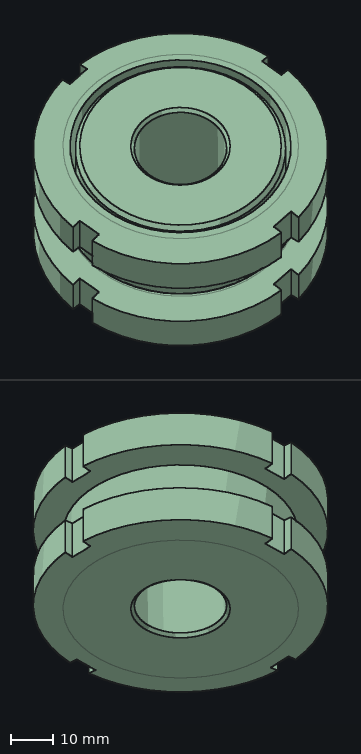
import cadquery as cq
import math

total_height = 33.0
flange_height = 11.0

across_slot_corners = 69.75
slot_width = 6.15
slot_floor_radius = 32.5
slot_count = 4
flange_radius = math.hypot(across_slot_corners / 2, slot_width / 2)
cone_drop = 0.85

hub_radius = 28.0
hub_chamfer = 0.8
clearance_radius = 26.2

stem_radius = 25.0
stem_chamfer = 1.05
bore_radius = 10.95
bore_chamfer = 0.85


def cylinder(radius, bottom, top):
    return cq.Workplane("XY").workplane(offset=bottom).circle(radius).extrude(top - bottom)


def make_slotted_flange(bottom):
    """Flange with a flat centre, shallow conical faces and slots around the rim."""
    top = bottom + flange_height
    profile = [
        (0, bottom),
        (hub_radius, bottom),
        (flange_radius, bottom + cone_drop),
        (flange_radius, top - cone_drop),
        (hub_radius, top),
        (0, top),
    ]
    flange = cq.Workplane("XZ").polyline(profile).close().revolve(360, (0, 0), (0, 1))

    slot_length = flange_radius
    for index in range(slot_count):
        cutter = (
            cq.Workplane("XY")
            .box(slot_length, slot_width, flange_height, centered=(False, True, False))
            .translate((slot_floor_radius, 0, bottom))
            .rotate((0, 0, 0), (0, 0, 1), index * 360 / slot_count)
        )
        flange = flange.cut(cutter)
    return flange


def make_base():
    """Lower flange with a central stem and a through bore chamfered at both ends."""
    stem = cylinder(stem_radius, 0, total_height).faces(">Z").chamfer(stem_chamfer)
    bore = cylinder(bore_radius, 0, total_height)
    base = make_slotted_flange(0).union(stem).cut(bore)
    bore_rims = cq.selectors.RadiusNthSelector(0)
    return base.edges(bore_rims).chamfer(bore_chamfer)


def make_ring_nut():
    """Upper flange with a hub that rests on the base and clears its stem."""
    flange_bottom = total_height - flange_height
    hub = cylinder(hub_radius, flange_height, flange_bottom).faces("<Z").chamfer(hub_chamfer)
    clearance = cylinder(clearance_radius, flange_height, total_height)
    return make_slotted_flange(flange_bottom).union(hub).cut(clearance)


base = make_base()
ring_nut = make_ring_nut()

result = cq.Compound.makeCompound([base.solids().val(), ring_nut.solids().val()])